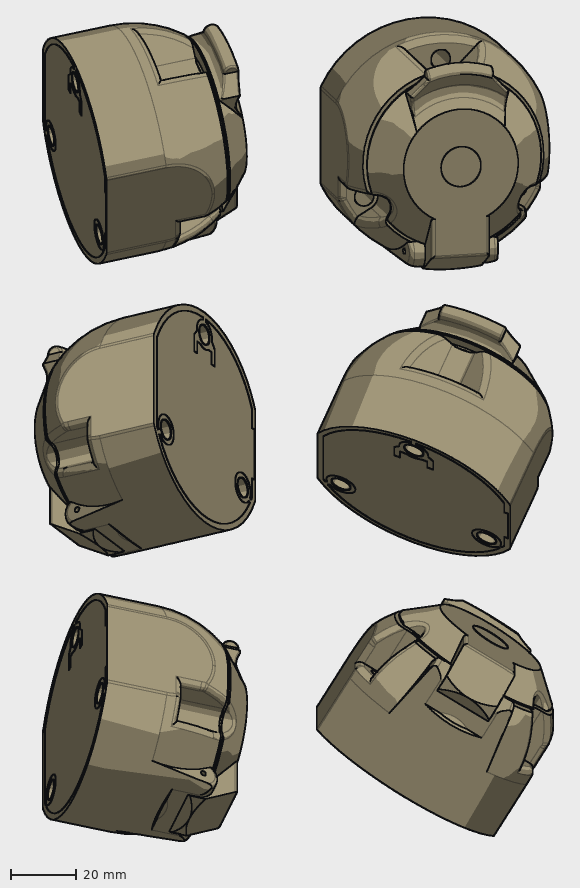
import cadquery as cq
import math

dome_radius = 35.4
skirt_depth = 19.1
body_depth = 40.05
total_depth = 49.8
flat_x = 32.0
flat_edge_radius = 2.1

rim_width = 2.0
recess_depth = 0.15
cable_gap_x = 31.3
cable_gap_height = 17.0
hole_circle = 27.9
hole_radius = 3.05
hole_chamfer = 0.2
boss_radius = 4.8
bridge_width = 1.55
hole_angles = (90, 210, 330)

pocket_floor = 24.25
pocket_rim_radius = 2.1
top_pocket_radius = 5.3
side_pocket_radius = 4.3
pocket_reach = 42.5

seal_radius = 23.0
lid_back = 40.8
lid_rim_thickness = 0.5
lid_front = 49.7
lid_radius = 27.6
lid_face_radius = 18.15
emblem_radius = 6.3
lid_notch_rounding = 1.8
surface_tolerance = 0.001
edge_margin = lid_rim_thickness

tab_half_width = 10.4
tab_base_half_width = 15.6
tab_edge_radius = 0.7
tab_root_z = 8.5
tab_root_half_width = 13.5
tab_shoulder_z = 28.0
tab_foot_z = 22.7
tab_rounded_from_z = 19.85
bar_y = 47.05
bar_z = 29.7
bar_radius = 2.5

pin_y = 36.65
pin_z = -28.9
pin_radius = 0.85
knuckle_radius = 5.0
knuckle_rounding = 1.4
knuckle_bottom = pin_z - knuckle_radius
lug_back_half_width = 17.6
lug_front_half_width = 13.9
lug_step_y = 26.8
lug_step_run = 1.2
arm_half_width = 9.2
arm_edge_radius = 1.05
arm_top_z = -10.6
arm_heel_y = 33.45


def prism_y(sketch_points, start, end):
    """Prism along Y from an outline of (x, z) points."""
    return cq.Workplane("XZ", origin=(0, start, 0)).polyline(sketch_points).close().extrude(start - end)


def disc_y(x, z, radius, start, end):
    """Round bar along Y centred on (x, z)."""
    return cq.Workplane("XZ", origin=(x, start, z)).circle(radius).extrude(start - end)


def box(x_span, y_span, z_span):
    """Box given by its (low, high) limits on each axis."""
    sizes = [high - low for low, high in (x_span, y_span, z_span)]
    return cq.Workplane("XY").box(*sizes, centered=False).translate((x_span[0], y_span[0], z_span[0]))


def hole_centre(angle):
    turn = math.radians(angle)
    return hole_circle * math.cos(turn), hole_circle * math.sin(turn)


def make_shell():
    """Cylinder running into a spherical dome, trimmed by the two side flats."""
    front_radius = math.sqrt(dome_radius**2 - (body_depth - skirt_depth) ** 2)
    middle_angle = math.asin((body_depth - skirt_depth) / dome_radius) / 2
    middle = (dome_radius * math.cos(middle_angle), skirt_depth + dome_radius * math.sin(middle_angle))
    shell = (
        cq.Workplane("XY")
        .moveTo(0, 0)
        .lineTo(dome_radius, 0)
        .lineTo(dome_radius, skirt_depth)
        .threePointArc(middle, (front_radius, body_depth))
        .lineTo(0, body_depth)
        .close()
        .revolve(360, (0, 0, 0), (0, 1, 0))
    )
    flats = box((-flat_x, flat_x), (0, body_depth), (-dome_radius, dome_radius))
    shell = shell.intersect(flats)
    return shell.faces("<X or >X").edges("not <Y").fillet(flat_edge_radius)


def pocket(x, z, radius, wall_angles):
    """Round-bottomed trough; its two walls leave the round tangentially at the given angles."""
    first, second = (math.radians(angle) for angle in wall_angles)
    start = (x + radius * math.sin(first), z - radius * math.cos(first))
    end = (x - radius * math.sin(second), z + radius * math.cos(second))
    outline = [
        start,
        (start[0] + pocket_reach * math.cos(first), start[1] + pocket_reach * math.sin(first)),
        (end[0] + pocket_reach * math.cos(second), end[1] + pocket_reach * math.sin(second)),
        end,
        (x, z),
    ]
    trough = prism_y(outline, pocket_floor, total_depth)
    return trough.union(disc_y(x, z, radius, pocket_floor, total_depth))


def make_pockets():
    top = pocket(*hole_centre(90), top_pocket_radius, (45, 135))
    right = pocket(*hole_centre(330), side_pocket_radius, (-30, 0))
    left = right.mirror("YZ")
    return [top, right, left]


def lies_on_surface(edge, surface):
    middle = edge.positionAt(0.5)
    return cq.Vertex.makeVertex(*middle.toTuple()).distance(surface) < surface_tolerance


def rounded_cut(part, cutter, rounding, sharp_plane):
    """Cut a part and round the rim left on its old surface, except near the plane y = sharp_plane."""
    skin = part.val().Shells()[0]
    cutter_skin = cutter.val().Shells()[0]
    cut = part.cut(cutter)
    rim = [
        edge
        for edge in cut.edges().vals()
        if lies_on_surface(edge, skin)
        and lies_on_surface(edge, cutter_skin)
        and abs(edge.Center().y - sharp_plane) > edge_margin
    ]
    return cut.newObject(rim).fillet(rounding)


def make_lug():
    """Hinge lug: the skirt cylinder carried forward and rounded about the pin."""
    profile = (
        cq.Workplane("YZ", origin=(-dome_radius, 0, 0))
        .moveTo(skirt_depth, pin_z + knuckle_radius)
        .lineTo(skirt_depth, -dome_radius)
        .lineTo(lug_step_y, -dome_radius)
        .lineTo(lug_step_y + lug_step_run, knuckle_bottom)
        .lineTo(pin_y, knuckle_bottom)
        .threePointArc((pin_y + knuckle_radius, pin_z), (pin_y, pin_z + knuckle_radius))
        .close()
        .extrude(2 * dome_radius)
    )
    plan = (
        cq.Workplane("XY", origin=(0, 0, -dome_radius))
        .polyline([
            (-lug_back_half_width, skirt_depth),
            (lug_back_half_width, skirt_depth),
            (lug_front_half_width, pin_y + knuckle_radius),
            (-lug_front_half_width, pin_y + knuckle_radius),
        ])
        .close()
        .extrude(dome_radius)
    )
    lug = profile.intersect(plan)
    knuckle_sides = [
        edge
        for edge in lug.edges().vals()
        if edge.Center().y > pin_y and abs(edge.Center().x) > arm_half_width
    ]
    lug = lug.newObject(knuckle_sides).fillet(knuckle_rounding)
    return lug.intersect(disc_y(0, 0, dome_radius, 0, total_depth))


def make_lid():
    """Conical lid with a thin straight rim."""
    return (
        cq.Workplane("XY")
        .polyline([
            (0, lid_back),
            (lid_radius, lid_back),
            (lid_radius, lid_back + lid_rim_thickness),
            (lid_face_radius, lid_front),
            (0, lid_front),
        ])
        .close()
        .revolve(360, (0, 0, 0), (0, 1, 0))
    )


def cut_lid_notches(lid):
    """Rounded notches in line with the two lower screw holes."""
    for angle in hole_angles[1:]:
        x, z = hole_centre(angle)
        notch = disc_y(x, z, side_pocket_radius, lid_back, total_depth)
        lid = rounded_cut(lid, notch, lid_notch_rounding, lid_back)
    return lid


def make_tab():
    """Thumb tab: a rounded bar on a scooped neck that widens towards the lid."""
    neck = (
        cq.Workplane("YZ")
        .moveTo(lid_back, tab_root_z)
        .lineTo(lid_front, tab_root_z)
        .lineTo(lid_front, lid_face_radius)
        .lineTo(47.8, 21.4)
        .threePointArc((47.4, 23.5), (47.9, 25.5))
        .lineTo(bar_y + bar_radius, 29.05)
        .threePointArc((bar_y, bar_z + bar_radius), (bar_y - bar_radius, 30.05))
        .threePointArc((43.45, 28.3), (lid_back, 27.2))
        .close()
        .revolve(360, (0, 0, 0), (1, 0, 0))
    )
    half_outline = [
        (tab_half_width, dome_radius),
        (tab_half_width, tab_shoulder_z),
        (tab_base_half_width, tab_foot_z),
        (tab_root_half_width, tab_root_z),
    ]
    mirrored = [(-x, z) for x, z in reversed(half_outline)]
    tab = neck.intersect(prism_y(half_outline + mirrored, lid_back, total_depth))
    ends = [
        edge
        for edge in tab.edges().vals()
        if edge.geomType() in ("BSPLINE", "HYPERBOLA")
        and abs(edge.Center().x) > tab_half_width - surface_tolerance
        and edge.Center().z > tab_rounded_from_z
    ]
    return tab.newObject(ends).fillet(tab_edge_radius)


def make_arm():
    """Hinge arm carried by the lid, wrapping over the lug and kept inside the skirt cylinder."""
    arm = (
        cq.Workplane("YZ", origin=(-arm_half_width, 0, 0))
        .polyline([
            (lid_back, arm_top_z),
            (lid_front, arm_top_z),
            (lid_front, -28.35),
            (36.85, -dome_radius),
            (arm_heel_y, knuckle_bottom),
            (arm_heel_y, pin_z),
            (lid_back, pin_z + 3.55),
        ])
        .close()
        .extrude(2 * arm_half_width)
    )
    arm = arm.faces(">Y").edges().fillet(arm_edge_radius)
    return arm.intersect(disc_y(0, 0, dome_radius, 0, total_depth))


def make_recess():
    """Shallow back-plate recess inside the rim, leaving bosses, bridges and the forked bracket proud."""
    inner_radius = dome_radius - rim_width
    inner_x = flat_x - rim_width
    recess = disc_y(0, 0, inner_radius, 0, recess_depth)
    recess = recess.intersect(
        box((-inner_x, inner_x), (0, recess_depth), (-dome_radius, dome_radius))
    )
    half_gap = cable_gap_height / 2
    recess = recess.union(box((0, cable_gap_x), (0, recess_depth), (-half_gap, half_gap)))
    for angle in hole_angles:
        x, z = hole_centre(angle)
        recess = recess.cut(disc_y(x, z, boss_radius, 0, recess_depth))
        bridge = box((hole_circle, dome_radius), (0, recess_depth), (-bridge_width / 2, bridge_width / 2))
        recess = recess.cut(bridge.rotate((0, 0, 0), (0, 1, 0), -angle))
    fork_half = [(boss_radius, 27.3), (6.45, 25.5), (6.45, 19.8), (4.55, 19.8), (4.55, 23.8)]
    fork = fork_half + [(-x, z) for x, z in reversed(fork_half)]
    return recess.cut(prism_y(fork, 0, recess_depth))


def screw_hole(angle):
    x, z = hole_centre(angle)
    bore = disc_y(x, z, hole_radius, 0, pocket_floor)
    mouth = disc_y(x, z, hole_radius + hole_chamfer, 0, hole_chamfer)
    return bore.union(mouth)


def pin_hole():
    """Hole along X through the whole hinge."""
    return cq.Workplane("YZ", origin=(-dome_radius, pin_y, pin_z)).circle(pin_radius).extrude(2 * dome_radius)


body = make_shell()
for opening in make_pockets():
    body = rounded_cut(body, opening, pocket_rim_radius, body_depth)
body = body.union(make_lug())

lid = cut_lid_notches(make_lid()).union(make_tab()).union(make_arm())
lid = lid.union(disc_y(0, 0, emblem_radius, lid_front, total_depth))

seal = disc_y(0, 0, seal_radius, body_depth, lid_back)
result = body.union(seal).union(lid)
for angle in hole_angles:
    result = result.cut(screw_hole(angle))
result = result.cut(make_recess()).cut(pin_hole())